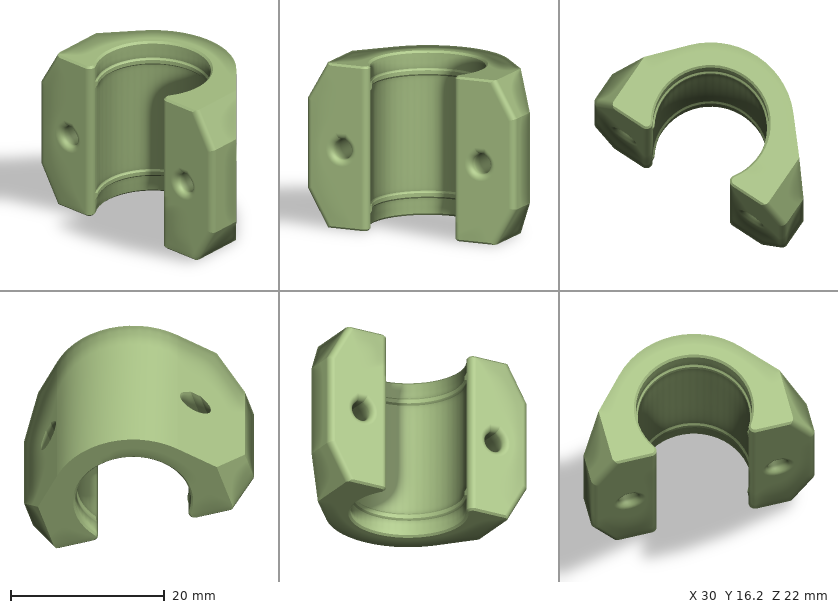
import cadquery as cq
import math

width = 30.0
depth = 16.23
height = 22.0
half_width = width / 2

outer_radius = 10.85
bore_radius = 7.55
bore_y = depth - outer_radius
side_wall_depth = 4.7
edge_radius = 0.8
end_chamfer = 0.27

corner_width = 2.85
corner_angle = 60.0
corner_height = corner_width * math.tan(math.radians(corner_angle))

rib_height = 0.25
rib_width = 1.0
rib_end_distance = 2.3

hole_x = 10.0
hole_z = height / 2 - 0.48
hole_radius = 1.32
rear_hole_radius = 1.55
rear_hole_floor = 5.1
roof_ratio = 1.1

lip_x = math.sqrt((bore_radius + edge_radius) ** 2 - (bore_y - edge_radius) ** 2)
lip_y = edge_radius
mouth_half_width = lip_x - edge_radius
bore_share = bore_radius / (bore_radius + edge_radius)
bore_end_x = lip_x * bore_share
bore_end_y = bore_y + (lip_y - bore_y) * bore_share

wall_offset = side_wall_depth - bore_y
wall_distance = math.hypot(half_width, wall_offset)
tangent_angle = math.atan2(wall_offset, half_width) + math.acos(outer_radius / wall_distance)
tangent_x = outer_radius * math.cos(tangent_angle)
tangent_y = bore_y + outer_radius * math.sin(tangent_angle)


def clamp_body():
    """Extruded clamp profile with rounded lips at the mouth."""
    return (
        cq.Workplane("XY")
        .moveTo(lip_x, 0)
        .lineTo(half_width, 0)
        .lineTo(half_width, side_wall_depth)
        .lineTo(tangent_x, tangent_y)
        .threePointArc((0, depth), (-tangent_x, tangent_y))
        .lineTo(-half_width, side_wall_depth)
        .lineTo(-half_width, 0)
        .lineTo(-lip_x, 0)
        .threePointArc((-mouth_half_width, lip_y), (-bore_end_x, bore_end_y))
        .threePointArc((0, bore_y + bore_radius), (bore_end_x, bore_end_y))
        .threePointArc((mouth_half_width, lip_y), (lip_x, 0))
        .close()
        .extrude(height)
    )


def flange_outline():
    """Octagonal envelope that cuts the flange corners."""
    inner_x = half_width - corner_width
    upper_z = height - corner_height
    return (
        cq.Workplane("XZ")
        .polyline([
            (-inner_x, 0), (inner_x, 0),
            (half_width, corner_height), (half_width, upper_z),
            (inner_x, height), (-inner_x, height),
            (-half_width, upper_z), (-half_width, corner_height),
        ])
        .close()
        .extrude(-depth)
    )


def round_flange_edges(body):
    """Round the side and slanted edges of the mounting face."""
    selected = []
    for edge in body.faces("<Y").edges().vals():
        if abs(edge.Center().x) > half_width - corner_width:
            selected.append(edge)
    return body.newObject(selected).fillet(edge_radius)


def chamfer_ends(body):
    """Bevel both ends along the bore, the lips and the mounting face."""
    selected = []
    for edge in body.faces("<Z or >Z").edges().vals():
        middle = edge.positionAt(0.5)
        on_mounting_face = middle.y < edge_radius
        in_bore = math.hypot(middle.x, middle.y - bore_y) < bore_radius + end_chamfer
        if on_mounting_face or in_bore:
            selected.append(edge)
    return body.newObject(selected).chamfer(end_chamfer)


def bore_rib(start_z):
    """Bevelled rib on the bore wall, ending at the lips."""
    crest_radius = bore_radius - rib_height
    root_radius = bore_radius + rib_height
    end_z = start_z + rib_width
    ring = (
        cq.Workplane("XZ")
        .polyline([
            (root_radius, start_z), (bore_radius, start_z),
            (crest_radius, start_z + rib_height), (crest_radius, end_z - rib_height),
            (bore_radius, end_z), (root_radius, end_z),
        ])
        .close()
        .revolve(360, (0, 0, 0), (0, 1, 0))
        .translate((0, bore_y, 0))
    )
    mouth = cq.Workplane("XY").box(
        2 * mouth_half_width, 2 * bore_y, height, centered=(True, True, False)
    )
    below_lips = cq.Workplane("XY").box(
        width, 2 * lip_y, height, centered=(True, True, False)
    )
    return ring.cut(mouth).cut(below_lips)


def teardrop_hole(x, radius, start_y):
    """Hole along +Y with a 45 degree, flat-topped roof."""
    shoulder = radius * math.sqrt(0.5)
    roof = radius * roof_ratio
    roof_half_width = 2 * shoulder - roof
    return (
        cq.Workplane("XZ", origin=(x, start_y, hole_z))
        .moveTo(-shoulder, shoulder)
        .threePointArc((0, -radius), (shoulder, shoulder))
        .lineTo(roof_half_width, roof)
        .lineTo(-roof_half_width, roof)
        .close()
        .extrude(-depth)
    )


def round_hole_mouths(body):
    """Round the hole openings in the mounting face."""
    reach = hole_radius * roof_ratio + edge_radius
    selected = []
    for edge in body.faces("<Y").edges().vals():
        center = edge.Center()
        if math.hypot(abs(center.x) - hole_x, center.z - hole_z) < reach:
            selected.append(edge)
    return body.newObject(selected).fillet(edge_radius)


result = chamfer_ends(clamp_body())
result = result.intersect(flange_outline())
result = round_flange_edges(result)
for rib_z in (rib_end_distance, height - rib_end_distance - rib_width):
    result = result.union(bore_rib(rib_z))
for x in (-hole_x, hole_x):
    result = result.cut(teardrop_hole(x, hole_radius, 0))
    result = result.cut(teardrop_hole(x, rear_hole_radius, rear_hole_floor))
result = round_hole_mouths(result)